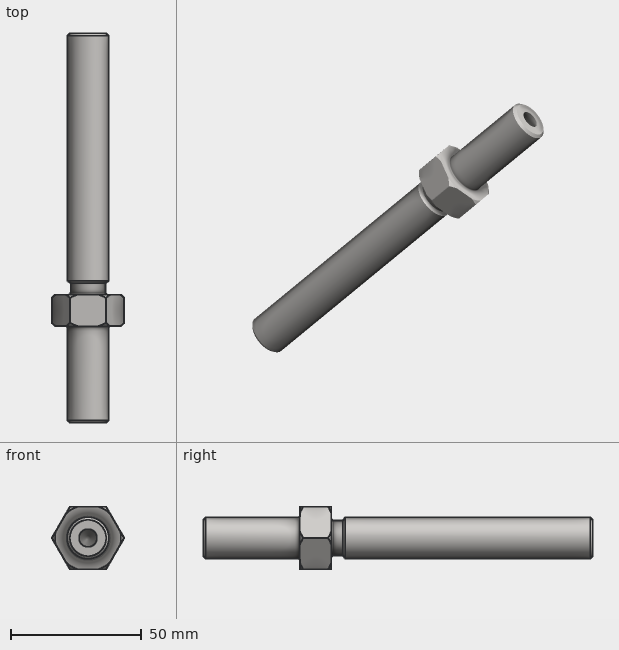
import cadquery as cq
import math

total_length = 149.0
front_length = 37.0
hex_length = 12.0
neck_length = 5.4

shaft_radius = 7.97
tip_chamfer = 1.0
neck_radius = 6.7
front_root_fillet = 0.5
neck_root_fillet = 0.7
shoulder_length = 1.0

across_flats = 24.0
across_corners = across_flats / math.cos(math.pi / 6)
corner_diameter = 27.5
corner_chamfer = 1.2

hole_diameter = 6.9
hole_depth = 17.9
drill_point_angle = 118.0

front_y = -total_length / 2
rear_y = total_length / 2
hex_front_y = front_y + front_length
hex_rear_y = hex_front_y + hex_length
neck_rear_y = hex_rear_y + neck_length


def revolve_about_y(profile):
    """Revolve a closed (radius, y) profile about the part axis."""
    return profile.close().revolve(360, (0, 0, 0), (0, 1, 0))


def make_shaft():
    """Turned shaft with chamfered ends, a relief neck and filleted roots at the hexagon."""
    diagonal = math.sqrt(0.5)
    front_fillet_mid = front_root_fillet * (1 - diagonal)
    neck_fillet_mid = neck_root_fillet * (1 - diagonal)
    profile = (
        cq.Workplane("XY")
        .moveTo(0, front_y)
        .lineTo(shaft_radius - tip_chamfer, front_y)
        .lineTo(shaft_radius, front_y + tip_chamfer)
        .lineTo(shaft_radius, hex_front_y - front_root_fillet)
        .threePointArc(
            (shaft_radius + front_fillet_mid, hex_front_y - front_fillet_mid),
            (shaft_radius + front_root_fillet, hex_front_y),
        )
        .lineTo(shaft_radius + front_root_fillet, hex_rear_y)
        .lineTo(neck_radius + neck_root_fillet, hex_rear_y)
        .threePointArc(
            (neck_radius + neck_fillet_mid, hex_rear_y + neck_fillet_mid),
            (neck_radius, hex_rear_y + neck_root_fillet),
        )
        .lineTo(neck_radius, neck_rear_y - shoulder_length)
        .lineTo(shaft_radius, neck_rear_y)
        .lineTo(shaft_radius, rear_y - tip_chamfer)
        .lineTo(shaft_radius - tip_chamfer, rear_y)
        .lineTo(0, rear_y)
    )
    return revolve_about_y(profile)


def make_hexagon():
    """Hexagon with corners along X, its corners turned down and chamfered at both ends."""
    prism = (
        cq.Workplane("XZ", origin=(0, hex_front_y, 0))
        .polygon(6, across_corners)
        .extrude(-hex_length)
    )
    turned_blank = (
        cq.Workplane("XZ", origin=(0, hex_front_y, 0))
        .circle(corner_diameter / 2)
        .extrude(-hex_length)
        .edges()
        .chamfer(corner_chamfer)
    )
    return prism.intersect(turned_blank)


def make_hole():
    """Drilled hole with a conical bottom."""
    hole_radius = hole_diameter / 2
    point_length = hole_radius / math.tan(math.radians(drill_point_angle / 2))
    profile = (
        cq.Workplane("XY")
        .moveTo(0, front_y)
        .lineTo(hole_radius, front_y)
        .lineTo(hole_radius, front_y + hole_depth)
        .lineTo(0, front_y + hole_depth + point_length)
    )
    return revolve_about_y(profile)


result = make_shaft().union(make_hexagon()).cut(make_hole())